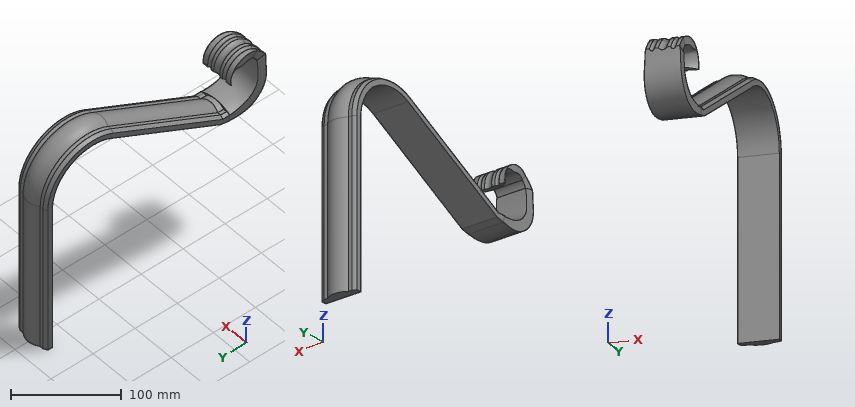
import cadquery as cq
import math

width = 40.0
reach = 268.2
height = 235.0

crown_thickness = 11.8
step_thickness = 7.8
edge_thickness = 5.5
dome_width = 23.5
step_width = 4.0

flat_crown = 0.13

bend_radius = 59.8
leg_length = height - bend_radius
arm_slope = 26.5
arm_length = 145.7

scroll_bottom = 150.2
lead_radius = 80.5
lead_angle = 10.0
lead_edge = 7.2
lead_step = 8.3
turn_radius = 33.3
turn_y = turn_radius - reach
turn_z = scroll_bottom + turn_radius
lead_z = scroll_bottom + lead_radius

upright_middle_rise = 16.0
upright_inset = 0.13

curl_y = -245.5
curl_z = 197.0
curl_outer_radius = 21.2
curl_inner_radius = 13.5
curl_start_angle = 37.0
curl_end_angle = -100.0
side_edge_height = 12.5
neck_width = 32.5
tip_width = 38.0
tip_edge_thickness = 0.3
curl_station_count = 12

rim_z = 203.5
rim_inner_y = -258.0
rim_inner_z = 201.2

groove_depth = 1.3
middle_groove_width = 8.0
side_groove_width = 4.8
side_groove_offset = 10.2
groove_overrun = 10.0


def polar(y, z, radius, angle):
    """Point at an angle from straight up, positive toward the front (-Y)."""
    turn = math.radians(angle)
    return (y - radius * math.sin(turn), z + radius * math.cos(turn))


def section_plane(origin, depth_angle, offset=0):
    """Plane across the strip; its local Y points through the thickness, its normal along the strip."""
    turn = math.radians(depth_angle)
    normal = (0, -math.cos(turn), -math.sin(turn))
    return cq.Plane(origin=(offset, origin[0], origin[1]), xDir=(1, 0, 0), normal=normal)


def stepped_section(plane, edge, step, crown):
    """Strip section with shoulders, steps and dome."""
    half = width / 2
    dome = dome_width / 2
    shelf = dome + step_width
    return (
        cq.Workplane(plane)
        .moveTo(-half, 0)
        .lineTo(half, 0)
        .lineTo(half, edge)
        .lineTo(shelf, step)
        .lineTo(dome, step)
        .threePointArc((0, crown), (-dome, step))
        .lineTo(-shelf, step)
        .lineTo(-half, edge)
        .close()
    )


def domed_wire(plane, section_width, edge, crown):
    """Strip section with one dome over its full width."""
    half = section_width / 2
    return (
        cq.Workplane(plane)
        .moveTo(-half, 0)
        .lineTo(half, 0)
        .lineTo(half, edge)
        .threePointArc((0, crown), (-half, edge))
        .close()
        .val()
    )


def loft(wires, ruled=False):
    return cq.Workplane(cq.Solid.makeLoft(wires, ruled))


def arm_section(plane):
    return stepped_section(plane, edge_thickness, step_thickness, crown_thickness)


bend_inner_radius = bend_radius - crown_thickness
leg_plane = cq.Plane(origin=(0, -crown_thickness, 0), xDir=(1, 0, 0), normal=(0, 0, 1))
bend_plane = cq.Plane(origin=(0, -crown_thickness, leg_length), xDir=(1, 0, 0), normal=(0, 0, 1))
leg = arm_section(leg_plane).extrude(leg_length)

bend_angle = 90 + arm_slope
bend = arm_section(bend_plane).revolve(
    bend_angle, (-2.7, -bend_inner_radius, 0), (2.7, -bend_inner_radius, 0)
)
arm_start = polar(-bend_radius, leg_length, bend_inner_radius, arm_slope)
arm_end = (
    arm_start[0] - arm_length * math.cos(math.radians(arm_slope)),
    arm_start[1] - arm_length * math.sin(math.radians(arm_slope)),
)
arm_end_plane = section_plane(arm_end, arm_slope)
arm = arm_section(arm_end_plane).extrude(-arm_length)


def lead_plane(angle):
    return section_plane(polar(turn_y, lead_z, lead_radius, 180 + angle), angle)


def turn_plane(angle):
    return section_plane(polar(turn_y, turn_z, turn_radius, 180 - angle), -angle)


lead_in = loft(
    [
        arm_section(arm_end_plane).val(),
        stepped_section(lead_plane(lead_angle), lead_edge, lead_step, crown_thickness).val(),
    ],
    ruled=True,
)

rim_thickness = math.hypot(reach + rim_inner_y, rim_z - rim_inner_z)
rim_slant = math.degrees(math.atan2(rim_z - rim_inner_z, reach + rim_inner_y))
rim_plane = section_plane((-reach, rim_z), -90 - rim_slant)
upright_middle = section_plane((upright_inset - reach, turn_z + upright_middle_rise), -90 - rim_slant / 2)

turn_sections = (
    (lead_plane(lead_angle), width, lead_edge, crown_thickness - lead_edge),
    (lead_plane(lead_angle / 2), 39.2, 8.0, 4.0),
    (turn_plane(0), 38.4, 9.5, 3.0),
    (turn_plane(22), 37.8, 10.5, 1.0),
    (turn_plane(45), 37.3, 10.7, flat_crown),
    (turn_plane(67), 36.5, 10.5, flat_crown),
    (turn_plane(90), 35.1, 10.0, flat_crown),
    (upright_middle, 33.8, 10.2, flat_crown),
    (rim_plane, neck_width, rim_thickness, flat_crown),
)
turn = loft([domed_wire(plane, wide, edge, edge + dome) for plane, wide, edge, dome in turn_sections])

neck_start = polar(curl_y, curl_z, curl_outer_radius, curl_start_angle)
neck_run = neck_start[0] + reach
neck_drop = neck_start[1] - rim_z
start_turn = math.radians(curl_start_angle)
neck_sagitta = neck_drop * math.cos(start_turn) - neck_run * math.sin(start_turn)
neck_radius = (neck_run**2 + neck_drop**2) / (2 * neck_sagitta)
neck_y, neck_z = polar(curl_y, curl_z, curl_outer_radius - neck_radius, curl_start_angle)
rim_angle = math.degrees(math.atan2(neck_y + reach, rim_z - neck_z))
neck_middle = polar(neck_y, neck_z, neck_radius, (curl_start_angle + rim_angle) / 2)
rim_inner_angle = math.degrees(math.atan2(curl_y - rim_inner_y, rim_inner_z - curl_z))
inner_start = polar(curl_y, curl_z, curl_inner_radius, curl_start_angle)
inner_middle = polar(curl_y, curl_z, curl_inner_radius, (curl_start_angle + rim_inner_angle) / 2)
neck = (
    cq.Workplane("YZ")
    .moveTo(*neck_start)
    .threePointArc(neck_middle, (-reach, rim_z))
    .lineTo(rim_inner_y, rim_inner_z)
    .threePointArc(inner_middle, inner_start)
    .close()
    .extrude(neck_width / 2, both=True)
)


def curl_side_thickness(angle, thickness):
    """The side's inner edge follows the curl, then runs level until it meets the outside."""
    full_thickness = thickness - flat_crown
    if angle > 0:
        return full_thickness
    meeting_cosine = side_edge_height / curl_outer_radius
    level_radius = side_edge_height / max(math.cos(math.radians(angle)), meeting_cosine)
    return min(full_thickness, max(tip_edge_thickness, curl_outer_radius - level_radius))


def curl_wire(progress):
    angle = curl_start_angle + progress * (curl_end_angle - curl_start_angle)
    thickness = curl_outer_radius - curl_inner_radius
    section_width = tip_width - (tip_width - neck_width) * (1 - progress) ** 3
    edge = curl_side_thickness(angle, thickness)
    plane = section_plane(polar(curl_y, curl_z, curl_outer_radius, angle), 180 + angle)
    return domed_wire(plane, section_width, edge, thickness)


curl = loft([curl_wire(i / (curl_station_count - 1)) for i in range(curl_station_count)])


def groove_along(y, z, arc_radius, start_angle, end_angle, offset, groove_width):
    cutter_radius = (groove_width**2 / 4 + groove_depth**2) / (2 * groove_depth)
    path_radius = arc_radius - groove_depth + cutter_radius
    plane = section_plane(polar(y, z, path_radius, start_angle), 180 + start_angle, offset)
    return (
        cq.Workplane(plane)
        .circle(cutter_radius)
        .revolve(start_angle - end_angle, (2.7, path_radius, 0), (-2.7, path_radius, 0))
    )


result = leg
for piece in (bend, arm, lead_in, turn, neck, curl):
    result = result.union(piece)

grooves = (
    (-side_groove_offset, side_groove_width),
    (0, middle_groove_width),
    (side_groove_offset, side_groove_width),
)
groove_arcs = (
    (neck_y, neck_z, neck_radius, rim_angle + groove_overrun, curl_start_angle),
    (curl_y, curl_z, curl_outer_radius, curl_start_angle, curl_end_angle - groove_overrun),
)
for groove_x, groove_width in grooves:
    for arc in groove_arcs:
        result = result.cut(groove_along(*arc, groove_x, groove_width))